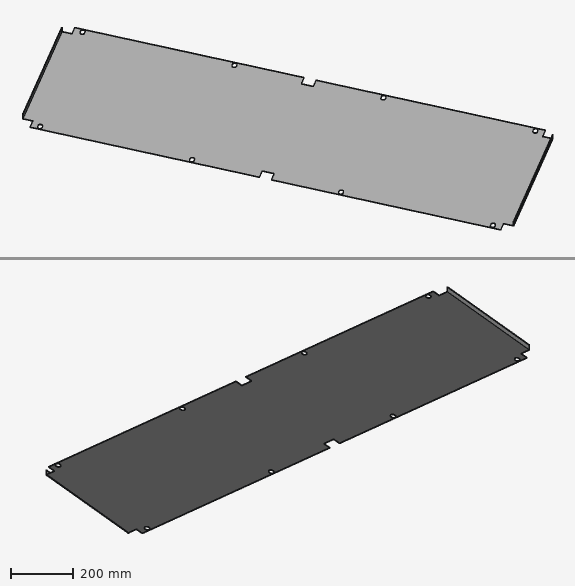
import cadquery as cq

length = 1650.0
width = 480.0
height = 20.0
thickness = 2.5
bend_radius = thickness

corner_length = 35.0
corner_depth = 30.0

middle_notch_length = 40.0
middle_notch_depth = 30.0

slot_width = 15.0
slot_length = 20.0
slot_angle = 90.0
slot_edge_distance = 12.5
inner_slot_x = 250.0
outer_slot_x = 760.0


def make_folded_sheet():
    """Flat sheet between the corner notches with both ends folded upward."""
    folded_width = width - 2 * corner_depth
    outside = (
        cq.Workplane("XY")
        .box(length, folded_width, height, centered=(True, True, False))
        .edges("|Y and <Z")
        .fillet(bend_radius)
    )
    inside = (
        cq.Workplane("XY")
        .workplane(offset=thickness)
        .box(length - 2 * thickness, folded_width, height, centered=(True, True, False))
    )
    return outside.cut(inside)


def make_base_sheet():
    """Full-width flat sheet, stopping short of the folds at the corner notches."""
    return cq.Workplane("XY").box(
        length - 2 * corner_length, width, thickness, centered=(True, True, False)
    )


def cut_middle_notches(panel):
    for side in (-1, 1):
        notch = (
            cq.Workplane("XY")
            .center(0, side * (width - middle_notch_depth) / 2)
            .rect(middle_notch_length, middle_notch_depth)
            .extrude(thickness)
        )
        panel = panel.cut(notch)
    return panel


def cut_edge_slots(panel):
    slot_y = width / 2 - slot_edge_distance
    slot_centers = [
        (x, y)
        for x in (-outer_slot_x, -inner_slot_x, inner_slot_x, outer_slot_x)
        for y in (-slot_y, slot_y)
    ]
    slots = (
        cq.Workplane("XY")
        .pushPoints(slot_centers)
        .slot2D(slot_length, slot_width, slot_angle)
        .extrude(thickness)
    )
    return panel.cut(slots)


panel = make_folded_sheet().union(make_base_sheet())
panel = cut_middle_notches(panel)
result = cut_edge_slots(panel)